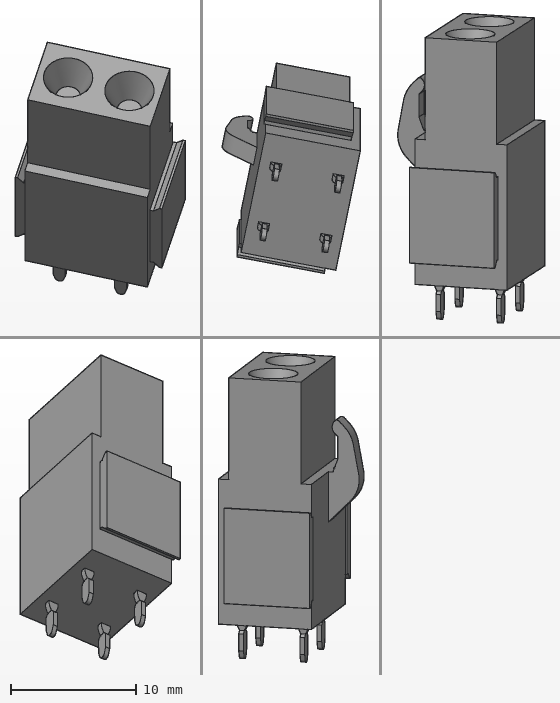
import cadquery as cq
import math


pitch = 5.08

housing_width = 2 * pitch
housing_height = 20.2
base_depth = 7.72
base_height = 11.87
block_depth = 6.0

entry_top_diameter = 3.94
entry_floor_diameter = entry_top_diameter / 2
entry_depth = 2.5

ear_reach = 1.0
ear_lip = 0.2
ear_slope = 0.5
ear_height = 7.8
ear_bottom = 1.93
ear_length = 7.12
ear_front_setback = 0.75

hook_width = 1.5
hook_left = -hook_width
hook_root_bottom = 7.75
hook_root_top = 0.37
hook_reach = 2.56
hook_lean = math.radians(14)
heel_radius = 2.55
shoulder_radius = 2.85
shoulder_end = (1.30, 15.65)
tip_start = (0.91, 16.04)
tip_top = (0.74, 16.13)
tip_corner = (0.50, 16.02)
tip_nose = (0.32, 15.50)
tip_end = (0.53, 15.03)
throat_distance = 0.78
throat_bottom = 12.93

pin_length = 3.25
pin_width = 1.0
pin_thickness = 0.4
neck_width = 0.5
neck_depth = 0.9
neck_length = 0.9
taper_start = 2.52
taper_end = 3.0
taper_end_width = 0.68


def make_block(depth, height):
    return cq.Workplane("XY").rect(housing_width, depth).extrude(height)


def make_wire_entry(x):
    top_radius = entry_top_diameter / 2
    floor_radius = entry_floor_diameter / 2
    cone = cq.Solid.makeCone(floor_radius, top_radius, entry_depth)
    return cq.Workplane(cone).translate((x, 0, housing_height - entry_depth))


def make_ear():
    """Right-hand ear, with its lip outermost and its thinner foot on the housing wall."""
    wall = housing_width / 2
    outer = wall + ear_reach
    lip_inner = outer - ear_lip
    foot = lip_inner - ear_slope
    ear_top = ear_bottom + ear_height
    front = -base_depth / 2 + ear_front_setback
    outline = [
        (wall, ear_bottom + ear_slope),
        (foot, ear_bottom + ear_slope),
        (lip_inner, ear_bottom),
        (outer, ear_bottom),
        (outer, ear_top),
        (lip_inner, ear_top),
        (foot, ear_top - ear_slope),
        (wall, ear_top - ear_slope),
    ]
    ear = cq.Workplane("XZ", origin=(0, front, 0)).polyline(outline).close()
    return ear.extrude(-ear_length)


def point_on_arc(centre, radius, angle):
    return (centre[0] + radius * math.cos(angle), centre[1] + radius * math.sin(angle))


def make_hook():
    diagonal = math.radians(45)

    heel_x = hook_reach - heel_radius
    heel_offset = heel_radius / math.cos(diagonal)
    heel_centre = (heel_x, hook_root_bottom + heel_x + heel_offset)
    heel_start = point_on_arc(heel_centre, heel_radius, -diagonal)
    heel_middle = point_on_arc(heel_centre, heel_radius, 0)
    heel_end = point_on_arc(heel_centre, heel_radius, hook_lean)

    shoulder_centre = point_on_arc(shoulder_end, -shoulder_radius, diagonal)
    shoulder_start = point_on_arc(shoulder_centre, shoulder_radius, hook_lean)
    shoulder_middle = point_on_arc(shoulder_centre, shoulder_radius, (hook_lean + diagonal) / 2)

    throat_top = tip_end[1] - (throat_distance - tip_end[0])

    profile = (
        cq.Workplane("YZ", origin=(hook_left, base_depth / 2, 0))
        .moveTo(0, hook_root_bottom)
        .lineTo(*heel_start)
        .threePointArc(heel_middle, heel_end)
        .lineTo(*shoulder_start)
        .threePointArc(shoulder_middle, shoulder_end)
        .lineTo(*tip_start)
        .threePointArc(tip_top, tip_corner)
        .threePointArc(tip_nose, tip_end)
        .lineTo(throat_distance, throat_top)
        .lineTo(throat_distance, throat_bottom)
        .lineTo(hook_root_top, base_height)
        .lineTo(0, base_height)
        .close()
    )
    return profile.extrude(hook_width)


def make_housing():
    right_ear = make_ear()
    body = make_block(base_depth, base_height).union(make_block(block_depth, housing_height))
    body = body.union(right_ear).union(right_ear.mirror("YZ")).union(make_hook())
    for x in (-pitch / 2, pitch / 2):
        body = body.cut(make_wire_entry(x))
    return body.solids()


def make_pin(x, y):
    """Flat pin hanging from the housing floor: a flared neck above a round-tipped blade."""
    shoulder = (pin_width - neck_width) / 2
    blade = (
        cq.Workplane("XZ", origin=(x, y, 0))
        .moveTo(-neck_width / 2, -neck_length)
        .lineTo(neck_width / 2, -neck_length)
        .lineTo(pin_width / 2, -neck_length - shoulder)
        .lineTo(pin_width / 2, -taper_start)
        .lineTo(taper_end_width / 2, -taper_end)
        .threePointArc((0, -pin_length), (-taper_end_width / 2, -taper_end))
        .lineTo(-pin_width / 2, -taper_start)
        .lineTo(-pin_width / 2, -neck_length - shoulder)
        .close()
        .extrude(pin_thickness / 2, both=True)
    )

    flare = (neck_depth - pin_thickness) / 2
    flare_radius = (flare**2 + neck_length**2) / (2 * flare)
    half_length = neck_length / 2
    half_inset = flare_radius - math.sqrt(flare_radius**2 - half_length**2)
    half_depth = neck_depth / 2
    half_thickness = pin_thickness / 2
    neck = (
        cq.Workplane("YZ", origin=(x, y, 0))
        .moveTo(-half_depth, 0)
        .lineTo(half_depth, 0)
        .threePointArc((half_depth - half_inset, -half_length), (half_thickness, -neck_length))
        .lineTo(-half_thickness, -neck_length)
        .threePointArc((half_inset - half_depth, -half_length), (-half_depth, 0))
        .close()
        .extrude(neck_width / 2, both=True)
    )
    return blade.union(neck).solids()


housing = make_housing()

pins = []
for pin_x in (-pitch / 2, pitch / 2):
    for pin_y in (-pitch / 2, pitch / 2):
        pins.append(make_pin(pin_x, pin_y).val())

result = cq.Compound.makeCompound([housing.val(), *pins])